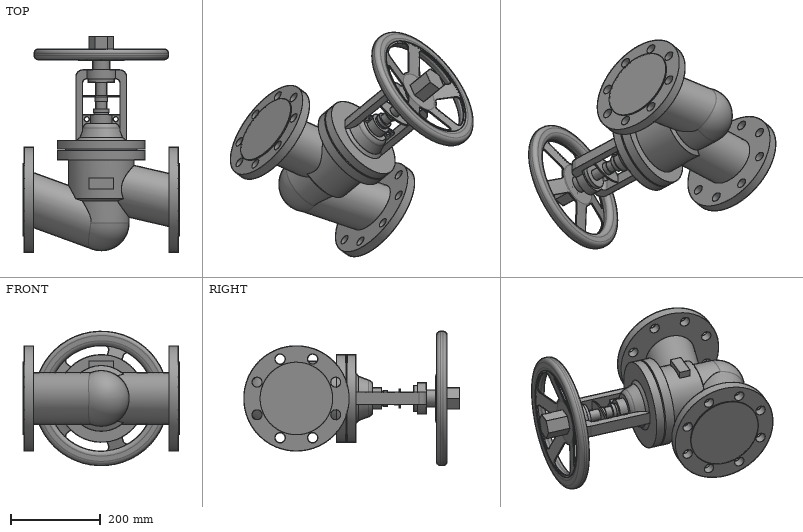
import cadquery as cq
import math


overall_length = 482.0

face_to_face = 350.0
flange_radius = 117.5
flange_thickness = 21.0
raised_face_radius = 81.0
raised_face_height = 3.0
bolt_circle_radius = 95.0
bolt_hole_diameter = 22.0
bolt_count = 8
flange_outer_x = face_to_face / 2 - raised_face_height
flange_inner_x = flange_outer_x - flange_thickness

pipe_radius = 58.0
inlet_tilt = 20.0
outlet_tilt = 13.0
inlet_cross_x = -153.0
outlet_cross_x = 149.5

body_radius = 73.2
body_bottom_y = 2.5
seat_radius = 62.0
seat_top_y = -2.5
seat_center_y = -51.5

pad_length = 55.0
pad_width = 25.0
pad_center_y = 36.0
pad_top_z = 83.5

joint_radius = 98.0
joint_bottom_y = 89.0
body_flange_top_y = 110.5
bonnet_flange_bottom_y = 113.0
bonnet_flange_top_y = 132.5
gasket_radius = 80.0

dome_base_radius = 57.0
dome_low_radius = 49.5
dome_low_y = 139.0
dome_high_radius = 41.5
dome_high_y = 160.5
dome_top_radius = 33.5
dome_top_y = 170.0
stuffing_box_radius = 24.0
stuffing_box_top_y = 190.0

lug_thickness = 6.0
lug_hole_diameter = 10.5
lug_hole_x = 32.5
lug_hole_y = 179.5

gland_radius = 16.5
gland_collar_radius = 18.0
gland_collar_bottom_y = 194.5
gland_collar_top_y = 203.0

yoke_half_width = 57.0
yoke_inner_half_width = 41.5
yoke_depth = 28.0
yoke_top_y = 290.0
yoke_bridge_bottom_y = 270.0
yoke_outer_radius = 16.5
yoke_inner_radius = 9.0
yoke_boss_radius = 35.0
yoke_collar_radius = 29.5
yoke_collar_bottom_y = 261.5

spindle_radius = 12.5
spindle_collar_radius = 14.5
spindle_collar_bottom_y = 219.2
guide_bottom_y = 229.0
guide_top_y = 232.3
guide_center_half_depth = 21.0
guide_end_half_depth = 10.0
bushing_radius = 19.5

wheel_diameter = 300.0
rim_outer_radius = wheel_diameter / 2
rim_inner_radius = 117.5
rim_bottom_y = 312.0
rim_top_y = 336.5
rim_outer_round = 9.5
rim_inner_round = 11.0
hub_radius = 48.0
hub_bottom_y = 310.5
web_thickness = 3.0
web_slope = 0.31
web_outer_radius = 122.5
spoke_count = 5
spoke_width = 34.5
window_inner_radius = 52.0
window_round = 8.5

nut_corner_diameter = 55.5
nut_top_y = overall_length - flange_radius


def disc(radius, bottom_y, top_y):
    """Cylinder on the spindle axis between two heights."""
    plane = cq.Workplane("XZ", origin=(0, bottom_y, 0))
    return plane.circle(radius).extrude(bottom_y - top_y)


def spin(profile):
    """Solid of revolution about the spindle axis from a closed XY profile."""
    return profile.revolve(360, (0, 0, 0), (0, 1, 0))


def make_flange(side):
    """Drilled pipe flange with a raised face; side is -1 or +1 along X."""
    flange = (
        cq.Workplane("YZ", origin=(side * flange_inner_x, 0, 0))
        .circle(flange_radius)
        .extrude(side * flange_thickness)
    )
    raised_face = (
        cq.Workplane("YZ", origin=(side * flange_outer_x, 0, 0))
        .circle(raised_face_radius)
        .extrude(side * raised_face_height)
    )
    holes = (
        cq.Workplane("YZ", origin=(side * flange_inner_x, 0, 0))
        .polarArray(bolt_circle_radius, 180 / bolt_count, 360, bolt_count)
        .circle(bolt_hole_diameter / 2)
        .extrude(side * flange_thickness)
    )
    return flange.cut(holes).union(raised_face)


def make_pipe(cross_x, tilt):
    """Branch pipe falling towards +X; its axis meets Y = 0 at cross_x and it ends at X = 0."""
    slope = math.tan(math.radians(tilt))
    axis_y = cross_x * slope
    direction = cq.Vector(math.copysign(1, cross_x), -math.copysign(slope, cross_x), 0)
    plane = cq.Plane(origin=(0, axis_y, 0), xDir=(0, 0, 1), normal=direction)
    pipe = cq.Workplane(plane).circle(pipe_radius).extrude(face_to_face)
    trimmed_length = 2 * flange_inner_x + flange_thickness
    between_flanges = cq.Workplane("XY").box(trimmed_length, face_to_face, face_to_face)
    return pipe.intersect(between_flanges)


def make_body():
    """Valve chamber with a rounded lower end, a joint flange and a label pad."""
    seat_bottom_y = seat_center_y - seat_radius
    diagonal = seat_radius * math.sqrt(0.5)
    profile = (
        cq.Workplane("XY")
        .moveTo(0, seat_bottom_y)
        .threePointArc((diagonal, seat_center_y - diagonal), (seat_radius, seat_center_y))
        .lineTo(seat_radius, seat_top_y)
        .lineTo(body_radius, body_bottom_y)
        .lineTo(body_radius, joint_bottom_y)
        .lineTo(joint_radius, joint_bottom_y)
        .lineTo(joint_radius, body_flange_top_y)
        .lineTo(0, body_flange_top_y)
        .close()
    )
    pad = (
        cq.Workplane("XY", origin=(0, pad_center_y, 0))
        .rect(pad_length, pad_width)
        .extrude(pad_top_z)
    )
    return spin(profile).union(pad)


def make_bonnet():
    """Gasket, bonnet flange, flared dome and stuffing box."""
    dome = spin(
        cq.Workplane("XY")
        .moveTo(0, bonnet_flange_top_y)
        .lineTo(dome_base_radius, bonnet_flange_top_y)
        .lineTo(dome_low_radius, dome_low_y)
        .lineTo(dome_high_radius, dome_high_y)
        .tangentArcPoint((dome_top_radius, dome_top_y), relative=False)
        .lineTo(0, dome_top_y)
        .close()
    )
    return (
        disc(gasket_radius, body_flange_top_y, bonnet_flange_bottom_y)
        .union(disc(joint_radius, bonnet_flange_bottom_y, bonnet_flange_top_y))
        .union(dome)
        .union(disc(stuffing_box_radius, dome_top_y, stuffing_box_top_y))
    )


def bar(half_width, bottom_y, top_y, depth):
    """Block centred on the spindle axis in X and Z."""
    plane = cq.Workplane("XY", origin=(0, (bottom_y + top_y) / 2, 0))
    return plane.box(2 * half_width, top_y - bottom_y, depth)


def make_yoke():
    """Rounded yoke arch with its top boss and the drilled lug plate."""
    arch = bar(yoke_half_width, bonnet_flange_top_y, yoke_top_y, yoke_depth)
    arch = arch.edges("|Z and >Y").fillet(yoke_outer_radius)
    opening = bar(yoke_inner_half_width, bonnet_flange_top_y, yoke_bridge_bottom_y, yoke_depth)
    opening = opening.edges("|Z and >Y").fillet(yoke_inner_radius)
    lug = bar(yoke_half_width, bonnet_flange_top_y, stuffing_box_top_y, lug_thickness)
    lug_holes = (
        cq.Workplane("XY", origin=(0, 0, -lug_thickness / 2))
        .pushPoints([(-lug_hole_x, lug_hole_y), (lug_hole_x, lug_hole_y)])
        .circle(lug_hole_diameter / 2)
        .extrude(lug_thickness)
    )
    return (
        arch.cut(opening)
        .union(lug.cut(lug_holes))
        .union(disc(yoke_boss_radius, yoke_bridge_bottom_y, yoke_top_y))
        .union(disc(yoke_collar_radius, yoke_collar_bottom_y, yoke_bridge_bottom_y))
    )


def make_spindle():
    """Spindle with gland, collar, anti-rotation plate and handwheel bushing."""
    guide = (
        cq.Workplane("XZ", origin=(0, guide_bottom_y, 0))
        .moveTo(-yoke_inner_half_width, -guide_end_half_depth)
        .threePointArc((0, -guide_center_half_depth), (yoke_inner_half_width, -guide_end_half_depth))
        .lineTo(yoke_inner_half_width, guide_end_half_depth)
        .threePointArc((0, guide_center_half_depth), (-yoke_inner_half_width, guide_end_half_depth))
        .close()
        .extrude(guide_bottom_y - guide_top_y)
    )
    return (
        disc(spindle_radius, stuffing_box_top_y, yoke_top_y)
        .union(disc(gland_radius, stuffing_box_top_y, gland_collar_bottom_y))
        .union(disc(gland_collar_radius, gland_collar_bottom_y, gland_collar_top_y))
        .union(disc(spindle_collar_radius, spindle_collar_bottom_y, guide_bottom_y))
        .union(guide)
        .union(disc(bushing_radius, yoke_top_y, hub_bottom_y))
    )


def make_rim():
    """Handwheel rim with rounded edges."""
    return spin(
        cq.Workplane("XY")
        .moveTo(rim_inner_radius + rim_inner_round, rim_bottom_y)
        .lineTo(rim_outer_radius - rim_outer_round, rim_bottom_y)
        .tangentArcPoint((rim_outer_round, rim_outer_round))
        .lineTo(rim_outer_radius, rim_top_y - rim_outer_round)
        .tangentArcPoint((-rim_outer_round, rim_outer_round))
        .lineTo(rim_inner_radius + rim_inner_round, rim_top_y)
        .tangentArcPoint((-rim_inner_round, -rim_inner_round))
        .lineTo(rim_inner_radius, rim_bottom_y + rim_inner_round)
        .tangentArcPoint((rim_inner_round, -rim_inner_round))
        .close()
    )


def make_windows():
    """Rounded openings that leave parallel-sided spokes."""
    depth = rim_top_y - hub_bottom_y
    windows = disc(rim_inner_radius, hub_bottom_y, rim_top_y)
    windows = windows.cut(disc(window_inner_radius, hub_bottom_y, rim_top_y))
    middle_y = (hub_bottom_y + rim_top_y) / 2
    spoke = cq.Workplane("XY").box(rim_outer_radius, depth, spoke_width)
    spoke = spoke.translate((rim_outer_radius / 2, middle_y, 0))
    for index in range(spoke_count):
        angle = index * 360 / spoke_count
        windows = windows.cut(spoke.rotate((0, 0, 0), (0, 1, 0), angle))
    return windows.edges("|Y").fillet(window_round)


def make_handwheel():
    """Dished handwheel: flat hub, conical spokes, rim and hexagon nut."""
    web_rise = web_slope * (web_outer_radius - hub_radius)
    web = spin(
        cq.Workplane("XY")
        .moveTo(0, hub_bottom_y)
        .lineTo(hub_radius, hub_bottom_y)
        .lineTo(web_outer_radius, hub_bottom_y + web_rise)
        .lineTo(web_outer_radius, hub_bottom_y + web_rise + web_thickness)
        .lineTo(hub_radius, hub_bottom_y + web_thickness)
        .lineTo(0, hub_bottom_y + web_thickness)
        .close()
    )
    nut = (
        cq.Workplane("XZ", origin=(0, hub_bottom_y, 0))
        .polygon(6, nut_corner_diameter)
        .extrude(hub_bottom_y - nut_top_y)
    )
    return web.cut(make_windows()).union(make_rim()).union(nut)


result = (
    make_body()
    .union(make_pipe(inlet_cross_x, inlet_tilt))
    .union(make_pipe(outlet_cross_x, outlet_tilt))
    .union(make_flange(-1))
    .union(make_flange(1))
    .union(make_bonnet())
    .union(make_yoke())
    .union(make_spindle())
    .union(make_handwheel())
)